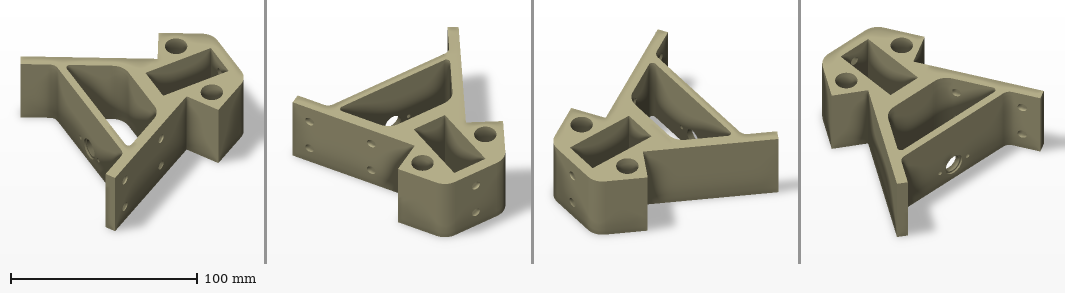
import cadquery as cq
import math

width = 106.4
depth = 101.8
height = 40.0
leg_angle = math.radians(60)
leg_thickness = 6.0
neck_half_width = 16.4
wing_length = 20.0
crown_radius = 10.0

web_front = 16.2
web_thickness = 4.0
web_corner_radius = 5.0
window_top = 48.0
window_top_radius = 10.0
window_bottom_radius = 2.0

rod_diameter = 12.0
rod_spacing = 40.2
rod_y = 80.1
slot_width = 20.0
slot_length = 40.0
slot_wall = 6.0

lower_hole_z = height / 4
upper_hole_z = height * 3 / 4
screw_diameter = 5.2
leg_hole_offset = 10.2
leg_hole_spacing = 37.2
eye_diameter = 9.9
eye_rim_diameter = 12.0
eye_rim_depth = 1.1
pin_diameter = 2.5
pin_spacing = 20.0

run = math.cos(leg_angle)
rise = math.sin(leg_angle)
slope = math.tan(leg_angle)
foot_outer = (width / 2, leg_thickness * run)
foot_inner = (width / 2 - leg_thickness * rise, 0)
neck = (neck_half_width, foot_outer[1] + (width / 2 - neck_half_width) * slope)
wing_tip = (neck[0] + wing_length * rise, neck[1] + wing_length * run)
crown = (wing_tip[0] - (depth - wing_tip[1]) / slope, depth)
window_bottom = web_front + web_thickness


def on_leg_inside(y):
    """Point at depth y on the inner face of the right leg."""
    return (foot_inner[0] - y / slope, y)


def mirrored_prism(right_side):
    """Full-height prism from a right-hand chain of points and its mirror image."""
    left_side = [(-x, y) for x, y in reversed(right_side)]
    return cq.Workplane("XY").polyline(right_side + left_side).close().extrude(height)


def round_corner_pair(body, corner, radius):
    """Round the upright edges at a corner and at its mirror image."""
    for side in (-1, 1):
        edge = cq.selectors.NearestToPointSelector((side * corner[0], corner[1], height / 2))
        body = body.edges("|Z").edges(edge).fillet(radius)
    return body


def make_frame():
    web_corner = on_leg_inside(web_front)
    frame = mirrored_prism([web_corner, foot_inner, foot_outer, neck, wing_tip, crown])
    frame = round_corner_pair(frame, web_corner, web_corner_radius)
    return round_corner_pair(frame, crown, crown_radius)


def make_window():
    top_corner = on_leg_inside(window_top)
    bottom_corner = on_leg_inside(window_bottom)
    window = mirrored_prism([bottom_corner, top_corner])
    window = round_corner_pair(window, top_corner, window_top_radius)
    return round_corner_pair(window, bottom_corner, window_bottom_radius)


def bore(diameter, length, start, direction):
    """Cylinder used to cut a hole from a start point along a direction."""
    return cq.Solid.makeCylinder(diameter / 2, length, cq.Vector(*start), cq.Vector(*direction))


result = make_frame().cut(make_window())

slot_back = depth - slot_wall
slot = cq.Workplane("XY").center(0, slot_back - slot_length / 2).rect(slot_width, slot_length)
result = result.cut(slot.extrude(height))
for side in (-1, 1):
    rod_start = (side * rod_spacing / 2, rod_y, 0)
    result = result.cut(bore(rod_diameter, height, rod_start, (0, 0, 1)))

backward = (0, 1, 0)
eye_start = (0, web_front, lower_hole_z)
result = result.cut(bore(eye_diameter, web_thickness, eye_start, backward))
result = result.cut(bore(eye_rim_diameter, eye_rim_depth, eye_start, backward))
for side in (-1, 1):
    pin_start = (side * pin_spacing / 2, web_front, lower_hole_z)
    result = result.cut(bore(pin_diameter, web_thickness, pin_start, backward))

for z in (lower_hole_z, upper_hole_z):
    for distance in (leg_hole_offset, leg_hole_offset + leg_hole_spacing):
        x, y = on_leg_inside(distance * rise)
        result = result.cut(bore(screw_diameter, leg_thickness, (x, y, z), (rise, run, 0)))
    result = result.cut(bore(screw_diameter, slot_wall, (0, slot_back, z), backward))